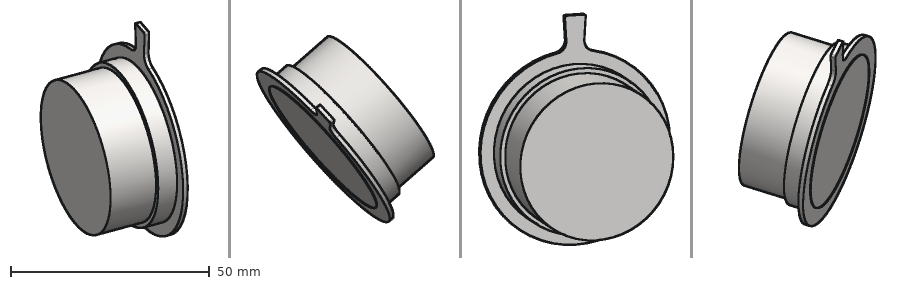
import cadquery as cq

overall_height = 59.0
overall_depth = 19.4

flange_diameter = 50.0
collar_diameter = 42.95
body_diameter = 40.35
flange_thickness = 1.3
collar_length = 5.25
back_pad_thickness = 0.2
body_length = overall_depth - collar_length - flange_thickness - back_pad_thickness

tab_tip_width = 5.55
tab_neck_width = 4.8
tab_taper_length = 6.2
tab_corner_radius = 0.5
tab_root_radius = 3.0
root_search_margin = 1.2

flange_radius = flange_diameter / 2
tab_tip_z = overall_height - flange_radius

collar_front = body_length
flange_front = collar_front + collar_length
flange_back = flange_front + flange_thickness


def disk(diameter, front, length):
    """Round disk on the Y axis, reaching back from the given front station."""
    plane = cq.Workplane("XZ", origin=(0, front, 0))
    return plane.circle(diameter / 2).extrude(-length)


def tab_half_width(z):
    """Half width of the straight tapered tab at height z."""
    taper = (tab_tip_width - tab_neck_width) / 2 / tab_taper_length
    return tab_tip_width / 2 - taper * (tab_tip_z - z)


def tabbed_flange():
    """Thin flange blended into its pull tab."""
    tab_root_z = flange_radius / 2
    root = tab_half_width(tab_root_z)
    tip = tab_half_width(tab_tip_z)
    tab = (
        cq.Workplane("XZ", origin=(0, flange_front, 0))
        .polyline([(-root, tab_root_z), (root, tab_root_z), (tip, tab_tip_z), (-tip, tab_tip_z)])
        .close()
        .extrude(-flange_thickness)
        .edges("|Y and >Z")
        .fillet(tab_corner_radius)
    )
    flange = disk(flange_diameter, flange_front, flange_thickness).union(tab)

    root_corners = cq.selectors.BoxSelector(
        (-tab_tip_width, flange_front - root_search_margin, flange_radius - root_search_margin),
        (tab_tip_width, flange_back + root_search_margin, flange_radius + root_search_margin),
    )
    return flange.edges("|Y").edges(root_corners).fillet(tab_root_radius)


body = disk(body_diameter, 0, body_length)
collar = disk(collar_diameter, collar_front, collar_length)
back_pad = disk(body_diameter, flange_back, back_pad_thickness)

result = body.union(collar).union(tabbed_flange()).union(back_pad)